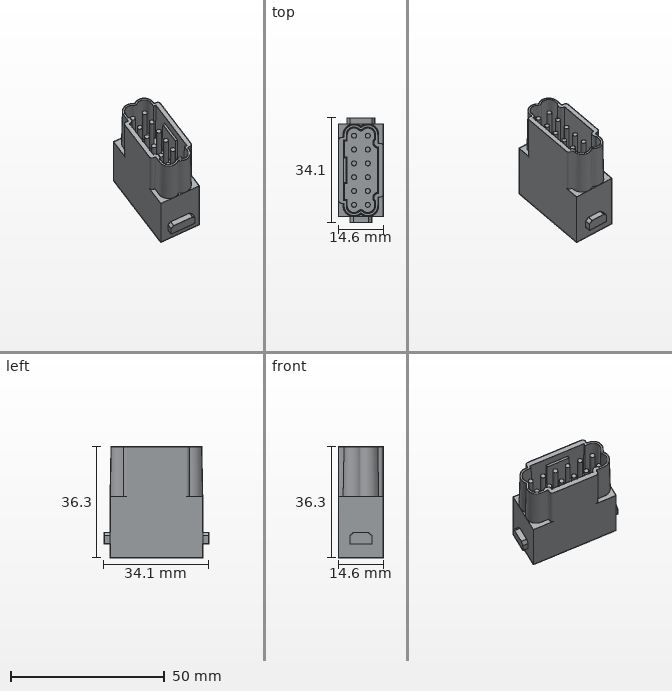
import cadquery as cq
import math

BODY_WIDTH = 14.6
BODY_LENGTH = 30.2
BODY_HEIGHT = 20.0
TOTAL_HEIGHT = 36.25

TAB_REACH = 1.95
TAB_BOTTOM = 4.55
TAB_HEIGHT = 3.75
TAB_CHAMFER_DROP = 1.0
FRONT_TAB_WIDTH = 7.1
FRONT_TAB_CHAMFER = 1.15
BACK_TAB_WIDTH = 9.1
BACK_TAB_CHAMFER = 1.0

PIN_PITCH = 4.5
PIN_COLUMNS = 2
PIN_ROWS = 6
PIN_DIAMETER = 1.6
PIN_TOP = 33.0

WALL = 0.72
DRAFT = 0.31
SHROUD_HEIGHT = TOTAL_HEIGHT - BODY_HEIGHT
LOBE_X = PIN_PITCH / 2
LOBE_Y = 11.55
OUTER_LOBE_RADIUS = 3.24
INNER_LOBE_RADIUS = OUTER_LOBE_RADIUS - WALL
OUTER_VALLEY_RADIUS = 0.3
INNER_VALLEY_RADIUS = OUTER_VALLEY_RADIUS + WALL

LEFT_SHOULDER_Y = 10.75
RIGHT_SHOULDER_Y = 8.75
SHOULDER_ROUND = 1.0
SHOULDER_INNER_ROUND = 0.3

CAVITY_HALF_WIDTH = 5.65
CAVITY_STEP_Y = 9.85
BUMP_Y = 8.95
BUMP_RADIUS = 1.42

RIB_LENGTH = 8.0
RIB_DEPTH = 0.85
RIB_TOP = PIN_TOP
RIB_DRAFT = DRAFT * (RIB_TOP - BODY_HEIGHT) / SHROUD_HEIGHT


def point_on_circle(center, radius, angle):
    return (center[0] + radius * math.cos(angle), center[1] + radius * math.sin(angle))


def mirror_y(point):
    return (point[0], -point[1])


def lobe_pair(lobe_radius, valley_radius):
    """Arcs (middle, end) over both +Y lobes and the valley between, from left to right."""
    left_center = (-LOBE_X, LOBE_Y)
    reach = lobe_radius + valley_radius
    tangent_angle = math.acos(LOBE_X / reach)
    valley_y = LOBE_Y + reach * math.sin(tangent_angle)
    left_end = point_on_circle(left_center, lobe_radius, tangent_angle)
    left_middle = point_on_circle(left_center, lobe_radius, (math.pi + tangent_angle) / 2)
    right_start = (-left_end[0], left_end[1])
    right_middle = (-left_middle[0], left_middle[1])
    right_end = (LOBE_X + lobe_radius, LOBE_Y)
    return [
        (left_middle, left_end),
        ((0, valley_y - valley_radius), right_start),
        (right_middle, right_end),
    ]


def quarter_arc(center, radius, x_side, y_side, end):
    """Quarter round (middle, end) bulging from its center to the given sides."""
    reach = radius * math.sqrt(0.5)
    return ((center[0] + x_side * reach, center[1] + y_side * reach), end)


def closed_outline(start, upper_half, height):
    """Wire through the +Y half, given clockwise from the left wall, and its mirror image.

    Each step holds an end point, or an arc's middle and end points.
    """
    sketch = cq.Workplane("XY").workplane(offset=height).moveTo(*start)
    starts = [start] + [step[-1] for step in upper_half[:-1]]
    lower_half = [
        tuple(mirror_y(point) for point in step[:-1]) + (mirror_y(step_start),)
        for step, step_start in zip(reversed(upper_half), reversed(starts))
    ]
    crossing = (mirror_y(upper_half[-1][-1]),)
    for step in upper_half + [crossing] + lower_half:
        if len(step) == 1:
            sketch = sketch.lineTo(*step[0])
        else:
            sketch = sketch.threePointArc(*step)
    return sketch.close().val()


def shroud_outline(growth, height):
    lobe_radius = OUTER_LOBE_RADIUS + growth
    lobe_side = LOBE_X + lobe_radius
    wall_x = BODY_WIDTH / 2
    round_x = wall_x - SHOULDER_ROUND
    corner_x = lobe_side + SHOULDER_INNER_ROUND
    left_round_y = LEFT_SHOULDER_Y - SHOULDER_ROUND
    right_round_y = RIGHT_SHOULDER_Y - SHOULDER_ROUND
    left_corner_y = LEFT_SHOULDER_Y + SHOULDER_INNER_ROUND
    right_corner_y = RIGHT_SHOULDER_Y + SHOULDER_INNER_ROUND

    left_shoulder = [
        quarter_arc((-round_x, left_round_y), SHOULDER_ROUND, -1, 1, (-round_x, LEFT_SHOULDER_Y)),
        ((-corner_x, LEFT_SHOULDER_Y),),
        quarter_arc((-corner_x, left_corner_y), SHOULDER_INNER_ROUND, 1, -1, (-lobe_side, left_corner_y)),
        ((-lobe_side, LOBE_Y),),
    ]
    right_shoulder = [
        ((lobe_side, right_corner_y),),
        quarter_arc((corner_x, right_corner_y), SHOULDER_INNER_ROUND, -1, -1, (corner_x, RIGHT_SHOULDER_Y)),
        ((round_x, RIGHT_SHOULDER_Y),),
        quarter_arc((round_x, right_round_y), SHOULDER_ROUND, 1, 1, (wall_x, right_round_y)),
    ]
    upper_half = left_shoulder + lobe_pair(lobe_radius, OUTER_VALLEY_RADIUS) + right_shoulder
    return closed_outline((-wall_x, left_round_y), upper_half, height)


def cavity_outline(shrink, height):
    lobe_radius = INNER_LOBE_RADIUS - shrink
    lobe_side = LOBE_X + lobe_radius
    wall_x = CAVITY_HALF_WIDTH - shrink
    step_y = CAVITY_STEP_Y - shrink
    bump_center = (CAVITY_HALF_WIDTH, BUMP_Y)
    bump_radius = BUMP_RADIUS + shrink
    bump_start_angle = math.acos((lobe_side - bump_center[0]) / bump_radius)
    bump_end_angle = 2 * math.pi - math.acos((wall_x - bump_center[0]) / bump_radius)
    bump_middle_angle = (bump_start_angle + bump_end_angle) / 2

    left_step = [
        ((-lobe_side, step_y),),
        ((-lobe_side, LOBE_Y),),
    ]
    right_bump = [
        (point_on_circle(bump_center, bump_radius, bump_start_angle),),
        (
            point_on_circle(bump_center, bump_radius, bump_middle_angle),
            point_on_circle(bump_center, bump_radius, bump_end_angle),
        ),
    ]
    upper_half = left_step + lobe_pair(lobe_radius, INNER_VALLEY_RADIUS) + right_bump
    return closed_outline((-wall_x, step_y), upper_half, height)


def drafted_solid(bottom_wire, top_wire):
    return cq.Workplane("XY").add(cq.Solid.makeLoft([bottom_wire, top_wire], True))


def make_body():
    return cq.Workplane("XY").box(BODY_WIDTH, BODY_LENGTH, BODY_HEIGHT, centered=(True, True, False))


def make_shroud():
    outside = drafted_solid(shroud_outline(DRAFT, BODY_HEIGHT), shroud_outline(0, TOTAL_HEIGHT))
    inside = drafted_solid(cavity_outline(DRAFT, BODY_HEIGHT), cavity_outline(0, TOTAL_HEIGHT))
    envelope = (
        cq.Workplane("XY")
        .workplane(offset=BODY_HEIGHT)
        .box(BODY_WIDTH, BODY_LENGTH, SHROUD_HEIGHT, centered=(True, True, False))
    )
    return outside.intersect(envelope).cut(inside)


def make_rib():
    """Coding rib, drafted like the cavity and rooted in the left shroud wall."""
    root_x = -(CAVITY_HALF_WIDTH + WALL)
    top_x = -CAVITY_HALF_WIDTH + RIB_DEPTH
    half_length = RIB_LENGTH / 2

    def rib_section(growth, height):
        sketch = cq.Workplane("XY").workplane(offset=height)
        sketch = sketch.moveTo(root_x, -half_length - growth).lineTo(top_x + growth, -half_length - growth)
        sketch = sketch.lineTo(top_x + growth, half_length + growth).lineTo(root_x, half_length + growth)
        return sketch.close().val()

    return drafted_solid(rib_section(RIB_DRAFT, BODY_HEIGHT), rib_section(0, RIB_TOP))


def make_pins():
    return (
        cq.Workplane("XY")
        .workplane(offset=BODY_HEIGHT)
        .rarray(PIN_PITCH, PIN_PITCH, PIN_COLUMNS, PIN_ROWS)
        .circle(PIN_DIAMETER / 2)
        .extrude(PIN_TOP - BODY_HEIGHT)
    )


def make_tab(width, chamfer, y_side):
    """Latch tab standing out of the end face on the given Y side, upper corners chamfered."""
    half_width = width / 2
    tab_top = TAB_BOTTOM + TAB_HEIGHT
    shoulder_z = tab_top - TAB_CHAMFER_DROP
    profile = [
        (-half_width, TAB_BOTTOM),
        (half_width, TAB_BOTTOM),
        (half_width, shoulder_z),
        (half_width - chamfer, tab_top),
        (-half_width + chamfer, tab_top),
        (-half_width, shoulder_z),
    ]
    end_face = cq.Workplane("XZ", origin=(0, y_side * BODY_LENGTH / 2, 0))
    return end_face.polyline(profile).close().extrude(-y_side * TAB_REACH)


result = (
    make_body()
    .union(make_shroud())
    .union(make_rib())
    .union(make_pins())
    .union(make_tab(FRONT_TAB_WIDTH, FRONT_TAB_CHAMFER, -1))
    .union(make_tab(BACK_TAB_WIDTH, BACK_TAB_CHAMFER, 1))
)